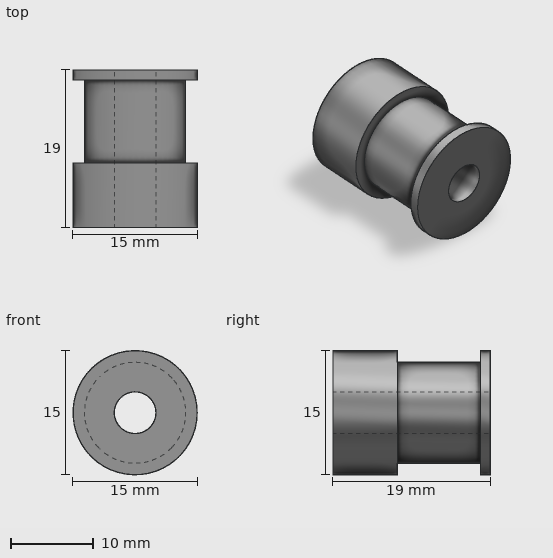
import cadquery as cq

total_length = 19.0
outer_diameter = 15.0
neck_diameter = 12.2
bore_diameter = 5.0
head_length = 7.79
flange_length = 1.22
neck_length = total_length - head_length - flange_length


def cylinder_along_y(diameter, start, length):
    """Solid cylinder on the Y axis, running from start towards +Y."""
    front_plane = cq.Workplane("XZ", origin=(0, start, 0))
    return front_plane.circle(diameter / 2).extrude(-length)


head = cylinder_along_y(outer_diameter, 0, head_length)
neck = cylinder_along_y(neck_diameter, head_length, neck_length)
flange = cylinder_along_y(outer_diameter, head_length + neck_length, flange_length)
bore = cylinder_along_y(bore_diameter, 0, total_length)

result = head.union(neck).union(flange).cut(bore)